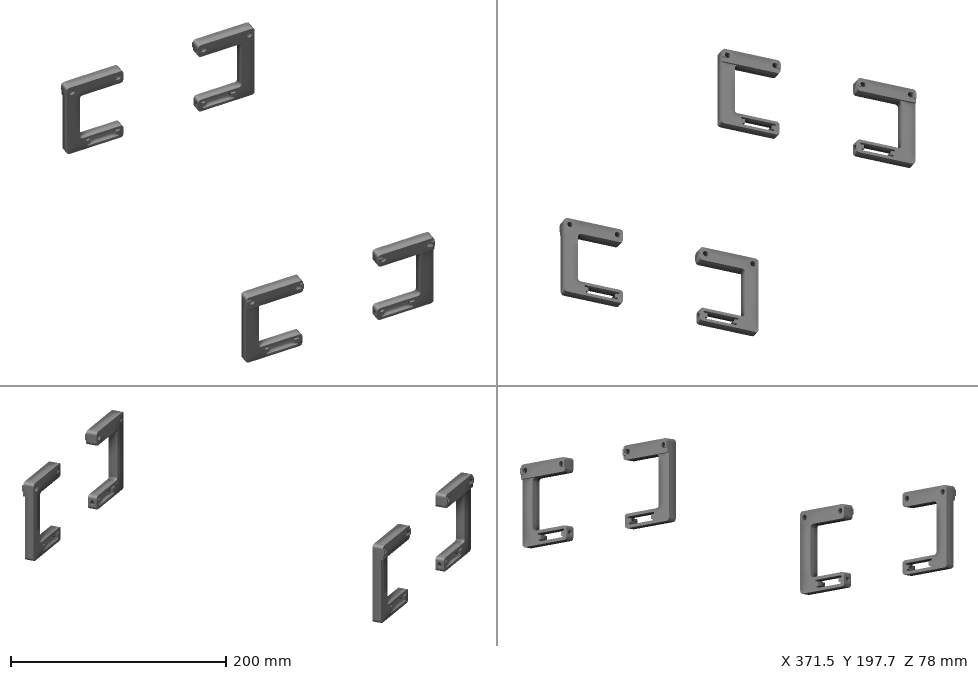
import cadquery as cq

span_x = 371.5
span_y = 197.7
height = 78.0

bracket_length = 59.5
bar_width = 13.7
column_thickness = 9.0
arm_thickness = 10.8
corner_radius = 3.0
arm_bottom = height - bar_width

hole_diameter = 5.5
hole_inset = 5.5
hole_z = height - 6.5
hole_positions = (hole_inset, bracket_length - hole_inset)

pad_proud = 1.0
pad_length = 3.7
pad_height = 6.0
pad_clearance_diameter = 6.7
total_thickness = arm_thickness + pad_proud

slot_length = 28.0
slot_height = 7.8
slot_bottom = 3.0
tip_wall = 7.5
slot_center = bracket_length - tip_wall - slot_length / 2
slot_top = slot_bottom + slot_height
finger_height = 2.0
top_finger_length = 35.5
bottom_finger_length = 32.7

tip_hole_diameter = 5.0


def block(x_range, y_range, z_range):
    """Box between the given limits on each axis."""
    (x0, x1), (y0, y1), (z0, z1) = x_range, y_range, z_range
    return cq.Workplane("XY").box(x1 - x0, y1 - y0, z1 - z0, centered=False).translate((x0, y0, z0))


def cylinder_along_x(diameter, y, z, length):
    """Cylinder that starts at the outer side of the bracket, X = 0."""
    return cq.Workplane("YZ").center(y, z).circle(diameter / 2).extrude(length)


def c_frame():
    """Rounded C outline at column thickness, with the upper arm made thicker on the outer side."""
    column_face = total_thickness - column_thickness
    window = block((0, total_thickness), (bar_width, bracket_length), (bar_width, arm_bottom))
    outline = block((pad_proud, total_thickness), (0, bracket_length), (0, height)).cut(window)
    outline = outline.edges("|X").fillet(corner_radius)
    return outline.cut(block((0, column_face), (0, bracket_length), (0, arm_bottom)))


def pads():
    """Flat pads at both ends of the upper arm, each notched by its hole clearance."""
    z_range = (hole_z - pad_height / 2, hole_z + pad_height / 2)
    far_start = bracket_length - pad_length
    flats = block((0, pad_proud), (0, pad_length), z_range).union(
        block((0, pad_proud), (far_start, bracket_length), z_range))
    for y in hole_positions:
        flats = flats.cut(cylinder_along_x(pad_clearance_diameter, y, hole_z, pad_proud))
    return flats


def cut_screw_holes(body):
    for y in hole_positions:
        body = body.cut(cylinder_along_x(hole_diameter, y, hole_z, total_thickness))
    return body


def finger(length, z):
    """Round-ended bar through the thickness, centred on the slot."""
    return cq.Workplane("YZ").center(slot_center, z).slot2D(length, finger_height).extrude(total_thickness)


def cut_slot(body):
    slot_ends = (slot_center - slot_length / 2, slot_center + slot_length / 2)
    body = body.cut(block((0, total_thickness), slot_ends, (slot_bottom, slot_top)))
    body = body.cut(finger(top_finger_length, slot_top - finger_height / 2))
    return body.cut(finger(bottom_finger_length, slot_bottom + finger_height / 2))


def cut_tip_hole(body):
    tip_hole = (
        cq.Workplane("XZ", origin=(0, bracket_length, 0))
        .center(total_thickness - column_thickness / 2, (slot_bottom + slot_top) / 2)
        .circle(tip_hole_diameter / 2)
        .extrude(tip_wall)
    )
    return body.cut(tip_hole)


def make_bracket():
    """Bracket with its outer side at X = 0 and its column at Y = 0, opening toward +Y."""
    body = c_frame().union(pads())
    return cut_tip_hole(cut_slot(cut_screw_holes(body)))


bracket = make_bracket().translate((-span_x / 2, -span_y / 2, -height / 2))
left_pair = [bracket, bracket.mirror("XZ")]
right_pair = [left_bracket.mirror("YZ") for left_bracket in left_pair]
result = cq.Compound.makeCompound([placed.val() for placed in left_pair + right_pair])